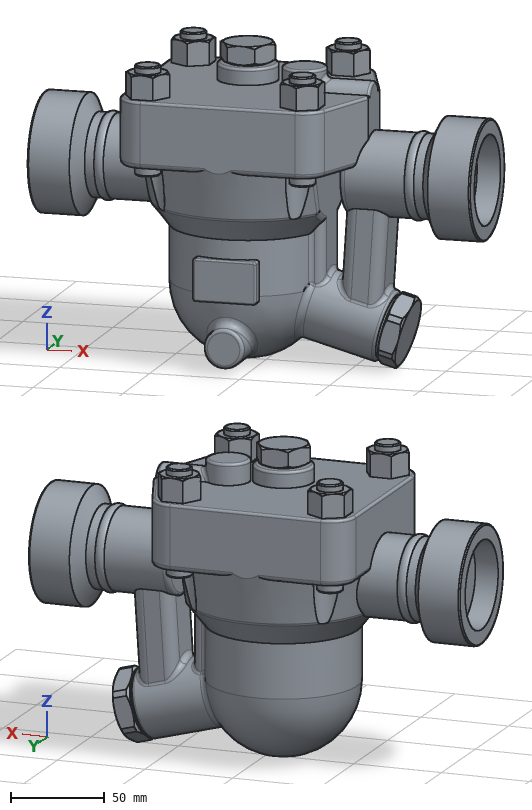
import cadquery as cq
import math


FLANGE_HALF = 57.5
FLANGE_TOP = 44.0
FLANGE_BOTTOM = 7.0
CORNER_RADIUS = 14.5
STUD_OFFSET = FLANGE_HALF - CORNER_RADIUS
NOSE_X = 70.0
NOSE_HALF_WIDTH = 10.8
FLANGE_TOP_ROUND = 1.5
FLANGE_BOTTOM_ROUND = 3.0

STUD_RADIUS = 7.0
STUD_TOP = 61.2
STUD_BOTTOM = 1.2
STUD_CHAMFER = 0.8
NUT_FLATS = 21.0
NUT_TOP = 57.3
NUT_CLEARANCE_RADIUS = 9.0

SKIRT_TOP_Z = 12.0
SKIRT_TOP_RADIUS = 58.4
SKIRT_LOW_RADIUS = 52.4
SKIRT_LOW_Z = -18.8
SKIRT_LOW_ROUND = 3.0
VESSEL_RADIUS = 42.0
VESSEL_TOP_Z = -32.0
DOME_CENTRE_Z = -62.5

PIPE_LENGTH = 246.0
PIPE_MID_X = 10.0
PIPE_RADIUS = 23.0
SOCKET_RADIUS = 33.0
SOCKET_LENGTH = 23.5
SOCKET_CHAMFER = 0.8
SOCKET_CONE_LENGTH = 5.5
SOCKET_BORE_RADIUS = 49.1 / 2
SOCKET_BORE_DEPTH = 13.0
BEAD_FROM_MID = 86.2
BEAD_WIDTH = 5.2
BEAD_HEIGHT = 1.0
GAP_START_X = 46.5
GAP_END_X = 57.2
GAP_EDGE_ROUND = 5.0
PIPE_END_ROUND = 3.0

BRANCH_TILT = 15.0
BRANCH_RADIUS = 20.0
BRANCH_LENGTH = 80.5
BRANCH_END_ROUND = 1.5
BRANCH_ROOT_ROUND = 5.0
RIB_FOOT_ROUND = 3.0
LEG_ROOT_ROUND = 3.0
BRANCH_NECK_RADIUS = 17.5
CAP_START = 82.0
CAP_END = 92.1
CAP_FLATS = 37.0
CAP_CORNER_RADIUS = 20.4
RIB_HALF_WIDTH = 15.0
RIB_ROOT_ROUND = 3.0
RIB_TOP = 0.0
RIB_BOTTOM = -75.0
RIB_ROUND = 5.2
LEG_TILT = 3.6
LEG_TOP_X = 70.7
LEG_LENGTH = 74.0
LEG_WIDTH = 22.8
LEG_DEPTH = 32.0
LEG_ROUND = 6.7

TOP_BOSS_X = 31.5
TOP_BOSS_RADIUS = 12.0
TOP_BOSS_TOP = 56.2
BOSS_ROUND = 1.5
BOSS_ROOT_ROUND = 3.0
RIDGE_RADIUS = 9.3
RIDGE_TOP = 50.0
FRONT_BOSS_RADIUS = 11.0
FRONT_BOSS_Z = -90.8
FRONT_BOSS_END_Y = -46.2
FRONT_BOSS_ROUND = 2.0
FRONT_BOSS_ROOT_ROUND = 4.0
PLATE_WIDTH = 35.0
PLATE_HEIGHT = 23.5
PLATE_FACE_Y = -45.0
PLATE_CENTRE_Z = -54.4
PLATE_CORNER_ROUND = 1.5
PLATE_FACE_ROUND = 1.0

PLUG_FLATS = 26.5
PLUG_TOP = 67.35
PLUG_HEX_BOTTOM = 57.2
PLUG_NECK_RADIUS = 11.0
WASHER_RADIUS = 16.5
WASHER_TOP = 56.2
WASHER_BOTTOM = 46.9
WASHER_ROUND = 1.5


def cylinder_z(radius, bottom, top, x=0, y=0):
    return cq.Workplane("XY", origin=(x, y, bottom)).circle(radius).extrude(top - bottom)


def edges_in(x_range, y_half, z_range):
    """Selector for the edges whose middles lie in a box that is symmetric in Y."""
    return cq.selectors.BoxSelector(
        (x_range[0], -y_half, z_range[0]),
        (x_range[1], y_half, z_range[1]),
    )


def hexagon(flats, bottom, top, chamfer_bottom=False):
    """Hexagonal prism on Z with corners along X, its corners turned down by 30 degree cones."""
    corner = flats / math.sqrt(3)
    overhang = corner - flats / 2
    drop = overhang * math.tan(math.radians(30))
    prism = cq.Workplane("XY").workplane(offset=bottom).polygon(6, 2 * corner).extrude(top - bottom)
    profile = cq.Workplane("XZ").moveTo(0, bottom)
    if chamfer_bottom:
        profile = profile.lineTo(flats / 2, bottom).lineTo(corner, bottom + drop)
    else:
        profile = profile.lineTo(corner, bottom)
    profile = profile.lineTo(corner, top - drop).lineTo(flats / 2, top).lineTo(0, top).close()
    return prism.intersect(profile.revolve(360, (0, 0, 0), (0, 1, 0)))


def flange_block():
    dx = NOSE_X - STUD_OFFSET
    dy = NOSE_HALF_WIDTH - STUD_OFFSET
    normal = math.atan2(dy, dx) + math.acos(CORNER_RADIUS / math.hypot(dx, dy))

    def on_corner(angle):
        return (
            STUD_OFFSET + CORNER_RADIUS * math.cos(angle),
            STUD_OFFSET + CORNER_RADIUS * math.sin(angle),
        )

    tangent = on_corner(normal)
    middle = on_corner((normal + math.pi / 2) / 2)
    outline = (
        cq.Workplane("XY", origin=(0, 0, FLANGE_BOTTOM))
        .moveTo(-FLANGE_HALF, -FLANGE_HALF)
        .lineTo(STUD_OFFSET, -FLANGE_HALF)
        .threePointArc((middle[0], -middle[1]), (tangent[0], -tangent[1]))
        .lineTo(NOSE_X, -NOSE_HALF_WIDTH)
        .lineTo(NOSE_X, NOSE_HALF_WIDTH)
        .lineTo(*tangent)
        .threePointArc(middle, (STUD_OFFSET, FLANGE_HALF))
        .lineTo(-FLANGE_HALF, FLANGE_HALF)
        .close()
    )
    block = outline.extrude(FLANGE_TOP - FLANGE_BOTTOM)
    block = block.edges("|Z and <X").fillet(CORNER_RADIUS)
    block = block.faces(">Z").edges().fillet(FLANGE_TOP_ROUND)
    return block.faces("<Z").edges().fillet(FLANGE_BOTTOM_ROUND)


def vessel():
    dome_bottom = DOME_CENTRE_Z - VESSEL_RADIUS
    slant = VESSEL_RADIUS * math.sqrt(0.5)
    shell = (
        cq.Workplane("XZ")
        .moveTo(0, SKIRT_TOP_Z)
        .lineTo(SKIRT_TOP_RADIUS, SKIRT_TOP_Z)
        .lineTo(SKIRT_LOW_RADIUS, SKIRT_LOW_Z)
        .lineTo(VESSEL_RADIUS, VESSEL_TOP_Z)
        .lineTo(VESSEL_RADIUS, DOME_CENTRE_Z)
        .threePointArc((slant, DOME_CENTRE_Z - slant), (0, dome_bottom))
        .close()
        .revolve(360, (0, 0, 0), (0, 1, 0))
    )
    skirt_edge = cq.selectors.RadiusNthSelector(-2)
    shell = shell.edges(skirt_edge).fillet(SKIRT_LOW_ROUND)
    limits = (
        cq.Workplane("XY")
        .box(FLANGE_HALF + GAP_START_X, 2 * FLANGE_HALF, 4 * FLANGE_HALF, centered=(False, True, True))
        .translate((-FLANGE_HALF, 0, 0))
    )
    shell = shell.intersect(limits)
    gap_edges = edges_in((GAP_START_X - 1, GAP_START_X + 1), FLANGE_HALF, (SKIRT_LOW_Z, SKIRT_TOP_Z - 1))
    return shell.edges(gap_edges).fillet(GAP_EDGE_ROUND)


def rib():
    """Upright rib under the gap, blended into the vessel by concave arcs."""
    blend_y = RIB_HALF_WIDTH + RIB_ROOT_ROUND
    blend_x = math.sqrt((VESSEL_RADIUS + RIB_ROOT_ROUND) ** 2 - blend_y**2)
    shrink = VESSEL_RADIUS / (VESSEL_RADIUS + RIB_ROOT_ROUND)
    root = (blend_x * shrink, blend_y * shrink)
    angle = (math.atan2(blend_y, blend_x) + math.pi / 2) / 2
    blend_mid = (blend_x - RIB_ROOT_ROUND * math.cos(angle), blend_y - RIB_ROOT_ROUND * math.sin(angle))
    return (
        cq.Workplane("XY", origin=(0, 0, RIB_BOTTOM))
        .moveTo(root[0], -root[1])
        .threePointArc((blend_mid[0], -blend_mid[1]), (blend_x, -RIB_HALF_WIDTH))
        .lineTo(GAP_START_X, -RIB_HALF_WIDTH)
        .lineTo(GAP_START_X, RIB_HALF_WIDTH)
        .lineTo(blend_x, RIB_HALF_WIDTH)
        .threePointArc(blend_mid, root)
        .close()
        .extrude(RIB_TOP - RIB_BOTTOM)
        .edges("|Z and >X")
        .fillet(RIB_ROUND)
    )


def pipe_half():
    """Half of the pipe, on X from the pipe middle to its +X socket."""
    end = PIPE_LENGTH / 2
    cone_end = end - SOCKET_LENGTH
    cone_start = cone_end - SOCKET_CONE_LENGTH
    return (
        cq.Workplane("XZ")
        .lineTo(0, PIPE_RADIUS)
        .lineTo(BEAD_FROM_MID - BEAD_WIDTH / 2, PIPE_RADIUS)
        .threePointArc(
            (BEAD_FROM_MID, PIPE_RADIUS + BEAD_HEIGHT),
            (BEAD_FROM_MID + BEAD_WIDTH / 2, PIPE_RADIUS),
        )
        .lineTo(cone_start, PIPE_RADIUS)
        .lineTo(cone_end, SOCKET_RADIUS)
        .lineTo(end - SOCKET_CHAMFER, SOCKET_RADIUS)
        .lineTo(end, SOCKET_RADIUS - SOCKET_CHAMFER)
        .lineTo(end, SOCKET_BORE_RADIUS)
        .lineTo(end - SOCKET_BORE_DEPTH, SOCKET_BORE_RADIUS)
        .lineTo(end - SOCKET_BORE_DEPTH, 0)
        .close()
        .revolve(360, (0, 0, 0), (1, 0, 0))
    )


def pipe():
    half = pipe_half()
    whole = half.union(half.mirror("YZ")).translate((PIPE_MID_X, 0, 0))
    gap = (
        cq.Workplane("XY")
        .box(GAP_END_X, 2 * SOCKET_RADIUS, 2 * SOCKET_RADIUS, centered=(False, True, False))
        .translate((0, 0, FLANGE_BOTTOM - 2 * SOCKET_RADIUS))
    )
    whole = whole.cut(gap)
    end_edge = edges_in((GAP_END_X - 1, GAP_END_X + 1), PIPE_RADIUS, (-PIPE_RADIUS - 1, FLANGE_BOTTOM - 1))
    return whole.edges(end_edge).fillet(PIPE_END_ROUND)


def on_branch(part):
    """Turn a part built along Z onto the branch axis."""
    return part.rotate((0, 0, 0), (0, 1, 0), 90 + BRANCH_TILT).translate((0, 0, DOME_CENTRE_Z))


def branch():
    tube = cylinder_z(BRANCH_RADIUS, 0, BRANCH_LENGTH).faces(">Z").edges().fillet(BRANCH_END_ROUND)
    return on_branch(tube.union(branch_root()))


def branch_root():
    """Concave ring between the dome and the branch, which share their centre."""
    ring_radius = BRANCH_RADIUS + BRANCH_ROOT_ROUND
    ring_height = math.sqrt((VESSEL_RADIUS + BRANCH_ROOT_ROUND) ** 2 - ring_radius**2)
    shrink = VESSEL_RADIUS / (VESSEL_RADIUS + BRANCH_ROOT_ROUND)
    angle = math.atan2(ring_height, ring_radius) / 2
    return (
        cq.Workplane("XZ")
        .lineTo(ring_radius * shrink, ring_height * shrink)
        .threePointArc(
            (
                ring_radius - BRANCH_ROOT_ROUND * math.cos(angle),
                ring_height - BRANCH_ROOT_ROUND * math.sin(angle),
            ),
            (BRANCH_RADIUS, ring_height),
        )
        .lineTo(0, ring_height)
        .close()
        .revolve(360, (0, 0, 0), (0, 1, 0))
    )


def branch_cap():
    neck = cylinder_z(BRANCH_NECK_RADIUS, BRANCH_LENGTH - 1, CAP_START)
    cap = hexagon(CAP_FLATS, CAP_START, CAP_END, chamfer_bottom=True)
    cap = cap.intersect(cylinder_z(CAP_CORNER_RADIUS, CAP_START, CAP_END))
    return on_branch(neck.union(cap))


def drop_leg():
    leg = (
        cq.Workplane("XY")
        .rect(LEG_WIDTH, LEG_DEPTH)
        .extrude(-LEG_LENGTH)
        .edges("|Z")
        .fillet(LEG_ROUND)
    )
    return leg.rotate((0, 0, 0), (0, 1, 0), LEG_TILT).translate((LEG_TOP_X, 0, 0))


def top_boss():
    boss = cylinder_z(TOP_BOSS_RADIUS, FLANGE_TOP - 1, TOP_BOSS_TOP, TOP_BOSS_X)
    return boss.faces(">Z").edges().fillet(BOSS_ROUND)


def ridge():
    return (
        cq.Workplane("YZ", origin=(TOP_BOSS_X, 0, RIDGE_TOP - RIDGE_RADIUS))
        .circle(RIDGE_RADIUS)
        .extrude(NOSE_X - TOP_BOSS_X)
        .faces(">X")
        .edges()
        .fillet(FLANGE_TOP_ROUND)
    )


def flange():
    """Flange block with the ridge and the boss on its top, blended together."""
    block = flange_block().union(ridge()).union(top_boss())
    boss_edges = edges_in(
        (TOP_BOSS_X, TOP_BOSS_X + 2 * TOP_BOSS_RADIUS),
        TOP_BOSS_RADIUS,
        (FLANGE_TOP + 0.5, RIDGE_TOP + 1),
    )
    return block.edges(boss_edges).fillet(BOSS_ROOT_ROUND)


def front_boss():
    return (
        cq.Workplane("XZ", origin=(0, 0, FRONT_BOSS_Z))
        .circle(FRONT_BOSS_RADIUS)
        .extrude(-FRONT_BOSS_END_Y)
        .faces("<Y")
        .edges()
        .fillet(FRONT_BOSS_ROUND)
    )


def name_plate():
    return (
        cq.Workplane("XZ", origin=(0, 0, PLATE_CENTRE_Z))
        .rect(PLATE_WIDTH, PLATE_HEIGHT)
        .extrude(-PLATE_FACE_Y)
        .edges("|Y")
        .fillet(PLATE_CORNER_ROUND)
        .faces("<Y")
        .edges()
        .fillet(PLATE_FACE_ROUND)
    )


def stud_and_nut(nut_angle):
    stud = cylinder_z(STUD_RADIUS, STUD_BOTTOM, STUD_TOP).faces("<Z or >Z").chamfer(STUD_CHAMFER)
    nut = hexagon(NUT_FLATS, FLANGE_TOP, NUT_TOP).rotate((0, 0, 0), (0, 0, 1), nut_angle)
    return stud.union(nut)


def lower_body():
    """Vessel with its rib, branch, drop leg and front boss, all blended at their roots."""
    shell = vessel().union(rib()).union(branch())
    rib_foot = edges_in((VESSEL_RADIUS - 3, GAP_START_X + 1), BRANCH_RADIUS - 2, (-66, -52))
    shell = shell.edges(rib_foot).fillet(RIB_FOOT_ROUND)
    shell = shell.union(drop_leg())
    leg_root = edges_in((54, 79), LEG_DEPTH / 2 + 1, (-72, -56))
    shell = shell.edges(leg_root).fillet(LEG_ROOT_ROUND)
    shell = shell.union(front_boss())
    boss_half = FRONT_BOSS_RADIUS + 1
    boss_root = edges_in(
        (-boss_half, boss_half), VESSEL_RADIUS - 2, (FRONT_BOSS_Z - boss_half, FRONT_BOSS_Z + boss_half)
    )
    shell = shell.edges(boss_root).fillet(FRONT_BOSS_ROOT_ROUND)
    return shell.union(name_plate()).union(branch_cap())


def trap_body():
    body = lower_body()
    corners = [(sx * STUD_OFFSET, sy * STUD_OFFSET) for sx in (-1, 1) for sy in (-1, 1)]
    for x, y in corners:
        body = body.cut(cylinder_z(NUT_CLEARANCE_RADIUS, VESSEL_TOP_Z, FLANGE_BOTTOM, x, y))
    body = body.union(flange()).union(pipe())
    for x, y in corners:
        nut_angle = 0 if x * y > 0 else 30
        body = body.union(stud_and_nut(nut_angle).translate((x, y, 0)))
    return body


def plug():
    washer = cylinder_z(WASHER_RADIUS, WASHER_BOTTOM, WASHER_TOP).faces(">Z").edges().fillet(WASHER_ROUND)
    neck = cylinder_z(PLUG_NECK_RADIUS, WASHER_BOTTOM, PLUG_HEX_BOTTOM)
    head = hexagon(PLUG_FLATS, PLUG_HEX_BOTTOM, PLUG_TOP, chamfer_bottom=True)
    return washer.union(neck).union(head)


body = trap_body()
cover_plug = plug()
result = cq.Compound.makeCompound([body.val(), cover_plug.val()])